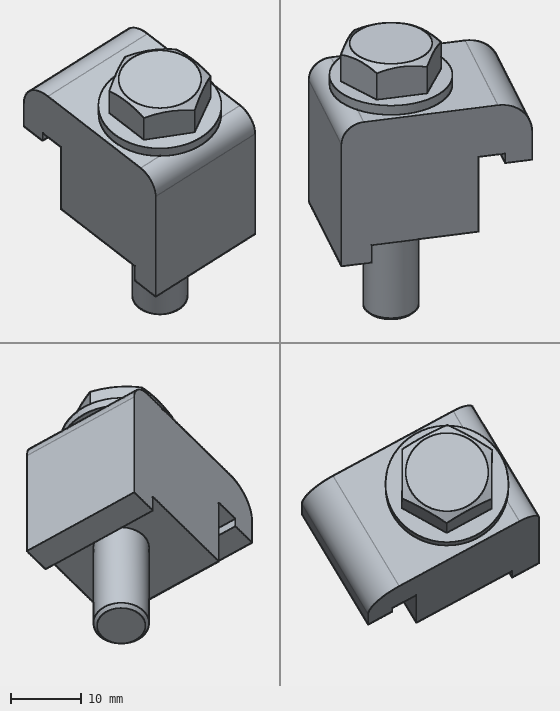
import cadquery as cq
import math

block_length = 27.95
block_width = 19.05
block_top = 36.55
block_bottom = 16.22
lip_bottom = 26.9
lip_length = 4.0
recess_top = 28.45
recess_end = 7.87
foot_start = 23.55
foot_bottom = 13.35
nose_radius = 5.05
back_radius = 3.25

bolt_x = 18.3
bolt_top = 43.25
shank_diameter = 7.9
tip_chamfer = 0.5
washer_diameter = 17.48
washer_thickness = 1.5
head_across_corners = 14.7
head_top_diameter = 11.72
head_chamfer_angle = 30.0


def make_block():
    """Hooked clamp profile with a rounded nose and back edge."""
    profile = [
        (0, lip_bottom),
        (lip_length, lip_bottom),
        (lip_length, recess_top),
        (recess_end, recess_top),
        (recess_end, block_bottom),
        (foot_start, block_bottom),
        (foot_start, foot_bottom),
        (block_length, foot_bottom),
        (block_length, block_top),
        (0, block_top),
    ]
    block = cq.Workplane("XZ").polyline(profile).close().extrude(block_width / 2, both=True)
    block = block.edges("|Y and >Z and <X").fillet(nose_radius)
    return block.edges("|Y and >X and >Z").fillet(back_radius)


def make_washer():
    """Flat washer resting on the block."""
    plane = cq.Workplane("XY", origin=(bolt_x, 0, block_top))
    return plane.circle(washer_diameter / 2).extrude(washer_thickness)


def make_shank():
    """Shank running from the washer down to a chamfered tip."""
    shank = cq.Workplane("XY", origin=(bolt_x, 0, 0)).circle(shank_diameter / 2).extrude(block_top)
    return shank.faces("<Z").chamfer(tip_chamfer)


def make_head():
    """Hexagonal head with its top corners trimmed by a cone."""
    head_bottom = block_top + washer_thickness
    corner_radius = head_across_corners / 2
    top_radius = head_top_diameter / 2
    corner_drop = (corner_radius - top_radius) * math.tan(math.radians(head_chamfer_angle))
    hexagon = (
        cq.Workplane("XY", origin=(bolt_x, 0, head_bottom))
        .polygon(6, head_across_corners)
        .extrude(bolt_top - head_bottom)
    )
    envelope = (
        cq.Workplane("XZ")
        .moveTo(0, head_bottom)
        .lineTo(corner_radius, head_bottom)
        .lineTo(corner_radius, bolt_top - corner_drop)
        .lineTo(top_radius, bolt_top)
        .lineTo(0, bolt_top)
        .close()
        .revolve(360, (0, 0, 0), (0, 1, 0))
        .translate((bolt_x, 0, 0))
    )
    return hexagon.intersect(envelope)


result = make_block().union(make_shank()).union(make_washer()).union(make_head())